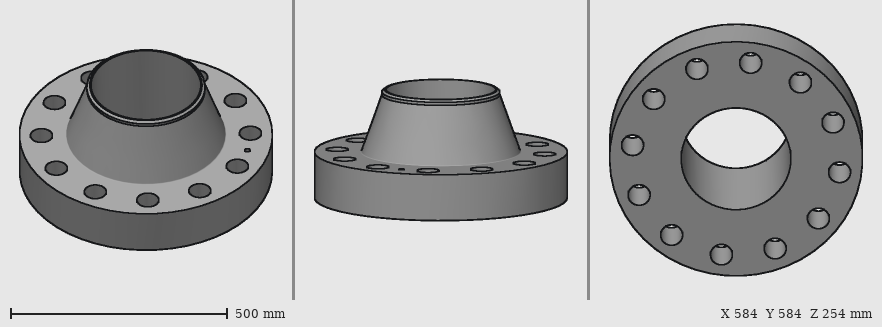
import cadquery as cq
import math

flange_diameter = 584.0
flange_thickness = 108.0
total_height = 254.0
bore_diameter = 253.5

hub_base_diameter = 368.0
neck_diameter = 273.0
neck_land_height = 7.0
root_face = 3.0
bevel_angle = 37.5
hub_root_fillet = 3.0

bolt_count = 12
bolt_circle_diameter = 482.5
bolt_hole_diameter = 51.0

small_hole_diameter = 12.0
small_hole_depth = 23.5
small_hole_step_diameter = 5.0
small_hole_step_depth = 11.5

flange_radius = flange_diameter / 2
bore_radius = bore_diameter / 2
hub_base_radius = hub_base_diameter / 2
neck_radius = neck_diameter / 2
bolt_circle_radius = bolt_circle_diameter / 2
bolt_pitch_angle = 360 / bolt_count

bevel_width = neck_radius - bore_radius - root_face
bevel_height = bevel_width * math.tan(math.radians(bevel_angle))
bevel_bottom = total_height - bevel_height
hub_top = bevel_bottom - neck_land_height


def make_body():
    """Revolve the flange, hub and welding end, and blend the hub into the flange."""
    body = (
        cq.Workplane("XZ")
        .moveTo(bore_radius, 0)
        .lineTo(flange_radius, 0)
        .lineTo(flange_radius, flange_thickness)
        .lineTo(hub_base_radius, flange_thickness)
        .lineTo(neck_radius, hub_top)
        .lineTo(neck_radius, bevel_bottom)
        .lineTo(neck_radius - bevel_width, total_height)
        .lineTo(bore_radius, total_height)
        .close()
        .revolve(360, (0, 0, 0), (0, 1, 0))
    )
    second_largest_circle = cq.selectors.RadiusNthSelector(-2)
    return body.edges("%CIRCLE").edges(second_largest_circle).fillet(hub_root_fillet)


def make_bolt_holes():
    """Through holes evenly spaced on the bolt circle, one of them on the X axis."""
    return (
        cq.Workplane("XY")
        .polarArray(bolt_circle_radius, 0, 360, bolt_count)
        .circle(bolt_hole_diameter / 2)
        .extrude(flange_thickness)
    )


def make_small_hole():
    """Flat-bottomed blind hole entering the flange from above, with a narrower step below."""
    return (
        cq.Workplane("XY")
        .circle(small_hole_diameter / 2)
        .extrude(-small_hole_depth)
        .faces("<Z")
        .workplane()
        .circle(small_hole_step_diameter / 2)
        .extrude(small_hole_step_depth)
        .translate((bolt_circle_radius, 0, flange_thickness))
        .rotate((0, 0, 0), (0, 0, 1), bolt_pitch_angle / 2)
    )


result = make_body().cut(make_bolt_holes()).cut(make_small_hole())